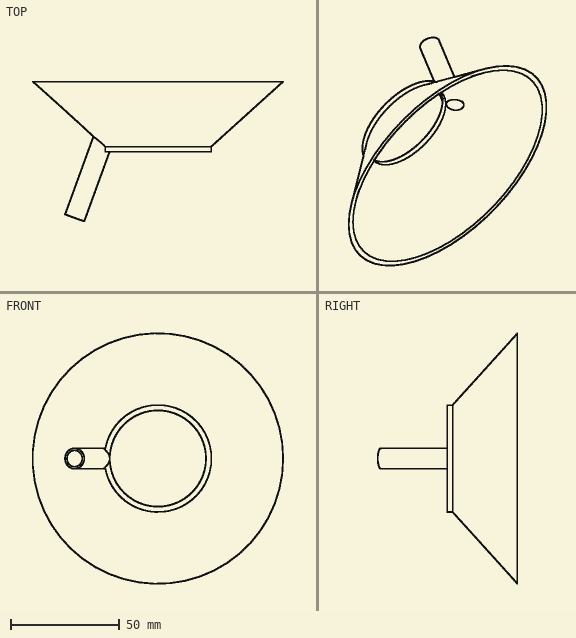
import cadquery as cq
import math

rim_radius = 57.8
cone_depth = 29.9
wall = 2.5

bore_radius = 44.3 / 2
collar_radius = bore_radius + wall
collar_length = 2.4
front_y = -(cone_depth + collar_length)

tube_outer_radius = 9.5 / 2
tube_inner_radius = 7.5 / 2
tube_tilt = 20.0
tube_end_x = -38.4
tube_reach = 64.5
tube_end_y = -(tube_reach - tube_outer_radius * math.sin(math.radians(tube_tilt)))
tube_length = 52.0


def revolve_about_y(points):
    return cq.Workplane("XY").polyline(points).close().revolve(360, (0, 0, 0), (0, 1, 0))


def tube_cylinder(radius):
    tilt = math.radians(tube_tilt)
    axis = cq.Vector(math.sin(tilt), math.cos(tilt), 0)
    end_center = cq.Vector(tube_end_x, tube_end_y, 0)
    return cq.Workplane(cq.Solid.makeCylinder(radius, tube_length, end_center, axis))


envelope = revolve_about_y([
    (0, 0),
    (rim_radius, 0),
    (collar_radius, -cone_depth),
    (collar_radius, front_y),
    (0, front_y),
])

hollow = revolve_about_y([
    (0, 0),
    (rim_radius - wall, 0),
    (bore_radius, -cone_depth),
    (bore_radius, front_y),
    (0, front_y),
])

shell = envelope.union(tube_cylinder(tube_outer_radius)).cut(hollow)
result = shell.cut(tube_cylinder(tube_inner_radius))